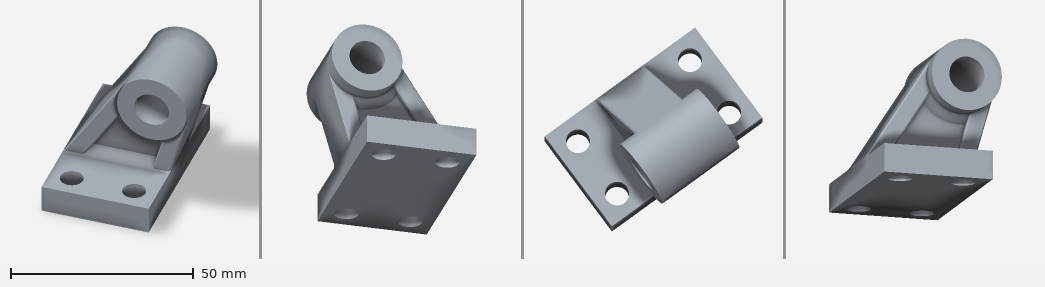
import cadquery as cq
import math

base_length = 31.0
base_width = 51.0
base_height = 8.0
bolt_hole_diameter = 6.6
bolt_hole_inset = 6.5
bolt_hole_spacing_y = 38.0

overall_length = 37.5
overall_height = 42.0
boss_diameter = 20.0
boss_width = 26.0
bore_diameter = 10.0
boss_radius = boss_diameter / 2
boss_x = overall_length - boss_radius
boss_z = overall_height - boss_radius

flange_width = 16.0
flange_thickness = 5.0
flange_bevel = 0.4
web_thickness = 11.2
foot_chamfer = 0.5
pocket_depth = (flange_width - web_thickness) / 2


def tangent_point(base_x, side):
    """Boss tangent point for a line from the plate top; side is -1 for left, +1 for right."""
    run = base_x - boss_x
    drop = base_height - boss_z
    distance = math.hypot(run, drop)
    angle = math.atan2(drop, run) + side * math.acos(boss_radius / distance)
    return boss_x + boss_radius * math.cos(angle), boss_z + boss_radius * math.sin(angle)


def prism(points, width):
    """XZ outline extruded symmetrically about the middle plane."""
    return cq.Workplane("XZ").polyline(points).close().extrude(width / 2, both=True)


def cylinder(diameter, width):
    """Cylinder on the boss axis."""
    return cq.Workplane("XZ").center(boss_x, boss_z).circle(diameter / 2).extrude(width / 2, both=True)


def flange(base_x, tangent, side):
    """Bevelled bar whose outer face runs from the plate edge to the boss tangent point."""
    run = tangent[0] - base_x
    rise = tangent[1] - base_height
    length = math.hypot(run, rise)
    lean = math.degrees(math.atan2(run, rise))
    buried_length = flange_thickness
    bar = (
        cq.Workplane("XY")
        .box(flange_thickness, flange_width, length + buried_length)
        .edges("|Z")
        .chamfer(flange_bevel)
        .translate((-side * flange_thickness / 2, 0, (length - buried_length) / 2))
    )
    return bar.rotate((0, 0, 0), (0, 1, 0), lean).translate((base_x, 0, base_height))


def foot():
    """45-degree slopes from the plate top up to the faces of the web."""
    bottom = flange_width / 2 + foot_chamfer
    top = web_thickness / 2
    height = base_height + bottom - top
    points = [(-bottom, base_height), (bottom, base_height), (top, height), (-top, height)]
    return cq.Workplane("YZ").polyline(points).close().extrude(overall_length)


def boss_flare():
    """45-degree cones widening from the boss to both faces of the web."""
    outer = flange_width / 2
    inner = web_thickness / 2
    flare_radius = boss_radius + pocket_depth
    profile = [(0, -outer), (boss_radius, -outer), (flare_radius, -inner),
               (flare_radius, inner), (boss_radius, outer), (0, outer)]
    cone = cq.Workplane("XY").polyline(profile).close().revolve(360, (0, 0), (0, 1))
    return cone.translate((boss_x, 0, boss_z))


def midpoint_to_boss_axis(point):
    return (point[0] + boss_x) / 2, (point[1] + boss_z) / 2


def support():
    left_tangent = tangent_point(0, -1)
    right_tangent = tangent_point(base_length, 1)
    outline = [(0, base_height), (base_length, base_height), right_tangent, (boss_x, boss_z), left_tangent]
    flare_outline = [
        (0, base_height),
        (base_length, base_height),
        midpoint_to_boss_axis(right_tangent),
        (boss_x, boss_z),
        midpoint_to_boss_axis(left_tangent),
    ]
    details = (
        flange(0, left_tangent, -1)
        .union(flange(base_length, right_tangent, 1))
        .union(foot())
        .union(boss_flare().intersect(prism(flare_outline, flange_width)))
    )
    return prism(outline, web_thickness).union(details.intersect(prism(outline, base_width)))


def base_plate():
    plate = cq.Workplane("XY").box(base_length, base_width, base_height, centered=(False, True, False))
    hole_spacing_x = base_length - 2 * bolt_hole_inset
    holes = (
        cq.Workplane("XY")
        .center(base_length / 2, 0)
        .rarray(hole_spacing_x, bolt_hole_spacing_y, 2, 2)
        .circle(bolt_hole_diameter / 2)
        .extrude(base_height)
    )
    return plate.cut(holes)


bore = cylinder(bore_diameter, boss_width)
result = base_plate().union(support()).union(cylinder(boss_diameter, boss_width)).cut(bore)